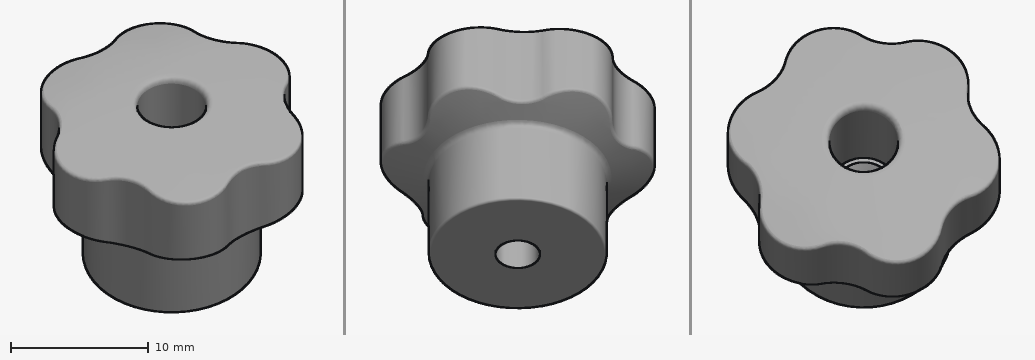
import cadquery as cq
import math

lobe_count = 6
outer_radius = 10.0
lobe_radius = 3.5
flute_radius = 3.5
pitch = 2 * math.pi / lobe_count

dome_apex = 15.0
dome_radius = 42.0
underside_pole = 6.0
underside_radius = 23.0
edge_fillet = 0.3

hub_diameter = 13.0
hub_fillet = 0.5
hub_bottom_fillet = 0.2

bore_diameter = 5.0
bore_floor = 6.6
bore_rim_fillet = 0.5
thread_diameter = 3.25
countersink_diameter = 4.28


def polar(radius, angle):
    return (radius * math.cos(angle), radius * math.sin(angle))


def grip_outline():
    """Lobes joined by tangent flutes, with the first lobe on +Y."""
    lobe_center = outer_radius - lobe_radius
    half_pitch = pitch / 2
    center_offset = lobe_center * math.sin(half_pitch)
    center_spacing = lobe_radius + flute_radius
    flute_center = lobe_center * math.cos(half_pitch) + math.sqrt(center_spacing**2 - center_offset**2)
    valley_radius = flute_center - flute_radius

    across = center_offset * flute_radius / center_spacing
    along = flute_center - math.sqrt(flute_radius**2 - across**2)
    tangent_radius = math.hypot(along, across)
    tangent_angle = math.atan2(across, along)

    first_flute = math.pi / 2 - half_pitch
    outline = cq.Workplane("XY").moveTo(*polar(tangent_radius, first_flute - tangent_angle))
    for i in range(lobe_count):
        flute = first_flute + i * pitch
        outline = outline.threePointArc(
            polar(valley_radius, flute), polar(tangent_radius, flute + tangent_angle)
        )
        outline = outline.threePointArc(
            polar(outer_radius, flute + half_pitch),
            polar(tangent_radius, flute + pitch - tangent_angle),
        )
    return outline.close()


def make_grip():
    """Lobed prism with a convex spherical top and underside."""
    dome = cq.Workplane("XY").sphere(dome_radius).translate((0, 0, dome_apex - dome_radius))
    underside = cq.Workplane("XY").sphere(underside_radius).translate(
        (0, 0, underside_pole + underside_radius)
    )
    grip = grip_outline().extrude(dome_apex).intersect(dome).intersect(underside)
    return grip.edges("not |Z").fillet(edge_fillet)


def add_hub(grip):
    """Round hub blended into the underside and rounded at its foot."""
    hub_top = (underside_pole + dome_apex) / 2
    hub = cq.Workplane("XY").circle(hub_diameter / 2).extrude(hub_top)
    body = grip.union(hub)
    body = body.edges("<Z").fillet(hub_bottom_fillet)
    margin = hub_diameter / 2 + hub_fillet
    junction = cq.selectors.BoxSelector(
        (-margin, -margin, underside_pole), (margin, margin, hub_top), boundingbox=True
    )
    return body.edges(junction).edges("%CIRCLE").fillet(hub_fillet)


def cut_bore(body):
    """Wide upper bore with a rounded rim, then a countersunk narrow hole."""
    wide_bore = cq.Workplane("XY").workplane(offset=bore_floor).circle(bore_diameter / 2).extrude(dome_apex)
    body = body.cut(wide_bore)
    body = body.cut(cq.Workplane("XY").circle(thread_diameter / 2).extrude(dome_apex))
    countersink_depth = (countersink_diameter - thread_diameter) / 2
    countersink = cq.Solid.makeCone(
        thread_diameter / 2,
        countersink_diameter / 2,
        countersink_depth,
        pnt=cq.Vector(0, 0, bore_floor - countersink_depth),
    )
    body = body.cut(cq.Workplane(countersink))
    return body.edges(">Z").fillet(bore_rim_fillet)


result = cut_bore(add_hub(make_grip()))